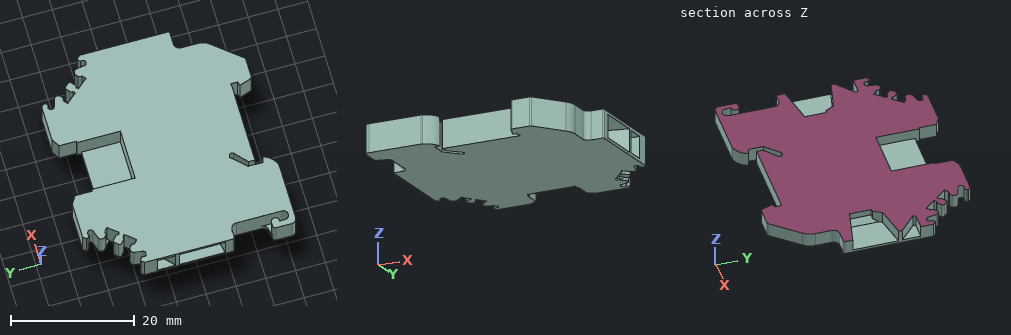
import cadquery as cq
import math

WIDTH = 38.0
HEIGHT = 34.0
THICKNESS = 5.0
HALF = WIDTH / 2

SPLIT_Y = 15.2
WELL_HALF = 4.3
WELL_FLOOR_Y = 23.0
WELL_MOUTH_HALF = 4.55
WELL_MOUTH_Y = 30.3
TOWER_CHAMFER_X = 1.33
TOWER_CHAMFER_Y = 0.8
WEB_TOP_Y = 29.53
WEB_THICKNESS = 0.72

FLANK_ANGLE = 50.0
FLANK_X = -13.07
FLANK_Y = 27.78
FLANK_V = 3.15
KNOB_TOP_V = 1.95
KNOB_HALF = 0.72
KNOB_STEM_HALF = 0.45
NOTCH_END_U = 2.2
TIP_U = 4.65
TIP_CHAMFER = 0.15
LEDGE_END_U = 2.62
LEDGE_Z = 0.23

SHOULDER_Y = 10.5
SHOULDER_ROUND = 0.23
NECK_LEFT_X = -16.4
NECK_RIGHT_X = 15.75
NECK_FILLET = 1.0
RAIL_Y = 3.5
HOOK_TOP_Y = 4.03
HOOK_TIP_X = -17.85
HOOK_INNER_X = -18.0
HOOK_WEB_THICKNESS = 1.0
SLOT_ROUND_Y = 1.82
HOOK_WEB_TOP_Y = 5.25
HOOK_WEB_OUTER_X = -18.45
HOOK_WEB_BOTTOM_Y = 0.57
HOOK_WEB_ROOT_X = NECK_LEFT_X + 0.57
CLAW_START_X = -8.55
SPRING_SLOT_X = -7.35
RAIL_LEFT_X = -6.6
RAIL_RIGHT_X = 7.37
REAR_CLAW_X = 7.45
REAR_SLOPE_X = 11.05
REAR_SLOPE_Y = 5.62

SCREW_Z = (0.57, 4.37)
WIRE_Z = (0.5, 4.5)
SCREW_TOP_Y = 23.5
SCREW_LOW_Y = 20.4
WIRE_TOP_Y = 19.75
WIRE_LOW_Y = 12.1
SCREW_DEPTH = 2.95
WIRE_DEPTH = 6.4
WIRE_RAMP = 0.95


def flank_point(u, v):
    """Part coordinates of a point in the flank's local frame."""
    angle = math.radians(FLANK_ANGLE)
    x = FLANK_X + u * math.cos(angle) - v * math.sin(angle)
    y = FLANK_Y + u * math.sin(angle) + v * math.cos(angle)
    return x, y


def flank_plane(z):
    """Work plane at height z whose axes are the flank's u and v."""
    angle = math.radians(FLANK_ANGLE)
    return cq.Plane((FLANK_X, FLANK_Y, z), (math.cos(angle), math.sin(angle), 0), (0, 0, 1))


def prism(points, z_low, z_high):
    """Upright prism on a closed polygon."""
    return cq.Workplane("XY", origin=(0, 0, z_low)).polyline(points).close().extrude(z_high - z_low)


def round_corner(body, x, y, radius):
    """Round the upright edge that stands at (x, y)."""
    nearest = cq.selectors.NearestToPointSelector((x, y, THICKNESS / 2))
    return body.edges("|Z").edges(nearest).fillet(radius)


def marker_cuts():
    """Material removed from the flank, mirrored about the knob in its middle."""
    clear_v = FLANK_V + 0.38
    outline = (
        cq.Workplane(flank_plane(0))
        .moveTo(0, clear_v)
        .lineTo(0, KNOB_TOP_V)
        .lineTo(0.35, KNOB_TOP_V)
        .threePointArc((0.6, 1.82), (KNOB_HALF, 1.55))
        .lineTo(KNOB_HALF, 0.85)
        .threePointArc((0.65, 0.6), (KNOB_STEM_HALF, 0.45))
        .lineTo(KNOB_STEM_HALF, 0)
        .lineTo(NOTCH_END_U, 0)
        .lineTo(NOTCH_END_U, 1.67)
        .threePointArc((2.5, 2.15), (3.2, 2.25))
        .lineTo(4.37, 1.5)
        .threePointArc((5.1, 1.8), (4.85, 2.3))
        .lineTo(TIP_U, 2.45)
        .lineTo(TIP_U, FLANK_V - TIP_CHAMFER)
        .lineTo(TIP_U + TIP_CHAMFER, FLANK_V)
        .lineTo(TIP_U + TIP_CHAMFER, clear_v)
        .close()
        .extrude(THICKNESS)
    )
    inside_u = NOTCH_END_U - 0.38
    ledge = (
        cq.Workplane(flank_plane(LEDGE_Z))
        .polyline([(inside_u, 0), (LEDGE_END_U, 0), (LEDGE_END_U, 0.72),
                   (NOTCH_END_U, 1.2), (inside_u, 1.2)])
        .close()
        .extrude(THICKNESS)
    )
    half = outline.union(ledge)
    along_flank = flank_plane(0).xDir
    return half.union(half.mirror(along_flank, (FLANK_X, FLANK_Y, 0)))


def side_openings():
    """Screw and wire pockets in the left face; the screw pocket tapers to its inner end."""
    screw_end_x = -HALF + SCREW_DEPTH
    screw = prism(
        [(-HALF, SCREW_TOP_Y), (screw_end_x - 0.23, SCREW_TOP_Y), (screw_end_x, 23.1), (-HALF, SCREW_LOW_Y)],
        *SCREW_Z,
    )
    wire_end_x = -HALF + WIRE_DEPTH
    wire = prism(
        [
            (-HALF, WIRE_TOP_Y),
            (wire_end_x - 1.25, 18.62),
            (wire_end_x - 0.45, 17.18),
            (wire_end_x, 17.05),
            (wire_end_x, 13.45),
            (-HALF, WIRE_LOW_Y),
        ],
        *WIRE_Z,
    )
    floor_z = WIRE_Z[0]
    ramp = (
        cq.Workplane("XZ")
        .polyline([
            (wire_end_x - WIRE_RAMP, floor_z),
            (wire_end_x, floor_z),
            (wire_end_x, floor_z + WIRE_RAMP),
        ])
        .close()
        .extrude(-HEIGHT)
    )
    return screw.union(wire.cut(ramp))


def upper_block():
    """Both towers with the well between them, from the split line up."""
    base_x, base_y = flank_point(0, FLANK_V)
    slope = math.tan(math.radians(FLANK_ANGLE))
    flank_low_y = base_y - (base_x + HALF) * slope
    flank_high_x = base_x + (HEIGHT - base_y) / slope
    half = prism(
        [
            (0, SPLIT_Y),
            (-HALF, SPLIT_Y),
            (-HALF, flank_low_y),
            (flank_high_x, HEIGHT),
            (-WELL_MOUTH_HALF - TOWER_CHAMFER_X, HEIGHT),
            (-WELL_MOUTH_HALF, HEIGHT - TOWER_CHAMFER_Y),
            (-WELL_MOUTH_HALF, WELL_MOUTH_Y),
            (-WELL_HALF, WELL_MOUTH_Y),
            (-WELL_HALF, WELL_FLOOR_Y),
            (0, WELL_FLOOR_Y),
        ],
        0,
        THICKNESS,
    )
    half = half.cut(marker_cuts())
    web = prism(
        [(-WELL_HALF, WELL_FLOOR_Y), (0, WELL_FLOOR_Y), (0, WEB_TOP_Y), (-WELL_HALF, WEB_TOP_Y)],
        0,
        WEB_THICKNESS,
    )
    half = half.union(web)
    return half.union(half.mirror("YZ"))


def rail_foot():
    """Lower part that clips over the mounting rail."""
    foot = (
        cq.Workplane("XY")
        .moveTo(-HALF, SPLIT_Y)
        .lineTo(-HALF, SHOULDER_Y)
        .lineTo(NECK_LEFT_X, SHOULDER_Y)
        .lineTo(NECK_LEFT_X, SLOT_ROUND_Y)
        .threePointArc((-17.2, 1.03), (HOOK_INNER_X, SLOT_ROUND_Y))
        .lineTo(HOOK_INNER_X, 2.65)
        .threePointArc((-17.25, 3.4), (HOOK_TIP_X, HOOK_TOP_Y))
        .lineTo(-HALF, HOOK_TOP_Y)
        .lineTo(-HALF, 0)
        .lineTo(CLAW_START_X, 0)
        .threePointArc((-7.2, 0.8), (-6.4, 2.13))
        .lineTo(SPRING_SLOT_X, 2.4)
        .lineTo(SPRING_SLOT_X, 4.9)
        .lineTo(-5.2, 7.1)
        .threePointArc((-4.52, 7.2), (-4.5, 6.55))
        .lineTo(RAIL_LEFT_X, 4.6)
        .lineTo(RAIL_LEFT_X, RAIL_Y)
        .lineTo(RAIL_RIGHT_X, RAIL_Y)
        .lineTo(RAIL_RIGHT_X, 2.45)
        .lineTo(6.7, 2.25)
        .lineTo(REAR_CLAW_X, 0)
        .lineTo(REAR_SLOPE_X, 0)
        .lineTo(NECK_RIGHT_X, REAR_SLOPE_Y)
        .lineTo(NECK_RIGHT_X, SHOULDER_Y)
        .lineTo(HALF, SHOULDER_Y)
        .lineTo(HALF, SPLIT_Y)
        .close()
        .extrude(THICKNESS)
    )
    corners = [
        (-HALF, SHOULDER_Y, SHOULDER_ROUND),
        (HALF, SHOULDER_Y, SHOULDER_ROUND),
        (NECK_LEFT_X, SHOULDER_Y, NECK_FILLET),
        (NECK_RIGHT_X, SHOULDER_Y, NECK_FILLET),
        (NECK_RIGHT_X, REAR_SLOPE_Y, 3.05),
        (-HALF, HOOK_TOP_Y, 0.45),
        (-HALF, 0, 0.9),
        (CLAW_START_X, 0, 0.75),
        (REAR_CLAW_X, 0, 0.38),
        (REAR_SLOPE_X, 0, 0.38),
    ]
    for x, y, radius in corners:
        foot = round_corner(foot, x, y, radius)
    return foot.union(hook_web())


def hook_web():
    """Thin web that closes the bottom of the J-shaped slot."""
    return (
        cq.Workplane("XY")
        .moveTo(NECK_LEFT_X, HOOK_WEB_TOP_Y)
        .threePointArc((-16.6, 4.67), (-17.02, 4.37))
        .lineTo(HOOK_WEB_OUTER_X, HOOK_TOP_Y)
        .lineTo(HOOK_WEB_OUTER_X, HOOK_WEB_BOTTOM_Y)
        .lineTo(HOOK_WEB_ROOT_X, HOOK_WEB_BOTTOM_Y)
        .lineTo(HOOK_WEB_ROOT_X, HOOK_WEB_TOP_Y)
        .close()
        .extrude(HOOK_WEB_THICKNESS)
    )


openings = side_openings()
result = upper_block().union(rail_foot()).cut(openings).cut(openings.mirror("YZ")).clean()